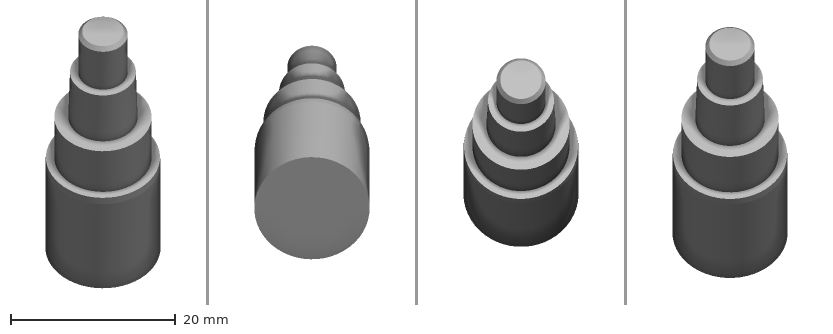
import cadquery as cq

total_height = 37.2
barrel_diameter = 14.0

rim_height = 1.0
rim_taper = 0.07
neck_diameter = 11.8
neck_height = 7.0
nose_base_diameter = 8.4
nose_top_diameter = 8.0
nose_height = 7.7

pin_diameter = 6.0
pin_height = 7.0
pin_chamfer = 0.5

nose_top = total_height - pin_height
neck_top = nose_top - nose_height
rim_top = neck_top - neck_height
barrel_top = rim_top - rim_height


def make_housing():
    """Revolve the stepped half profile about Z."""
    barrel_radius = barrel_diameter / 2
    neck_radius = neck_diameter / 2
    profile = [
        (0, 0),
        (barrel_radius, 0),
        (barrel_radius, barrel_top),
        (barrel_radius - rim_taper, rim_top),
        (neck_radius, rim_top),
        (neck_radius, neck_top),
        (nose_base_diameter / 2, neck_top),
        (nose_top_diameter / 2, nose_top),
        (0, nose_top),
    ]
    return cq.Workplane("XZ").polyline(profile).close().revolve(360, (0, 0), (0, 1))


def make_pin():
    """Round pin with a chamfered tip, seated on the flat top of the nose."""
    pin = cq.Workplane("XY").workplane(offset=nose_top).circle(pin_diameter / 2).extrude(pin_height)
    return pin.faces(">Z").chamfer(pin_chamfer)


housing = make_housing()
pin = make_pin()

result = cq.Compound.makeCompound([housing.val(), pin.val()])